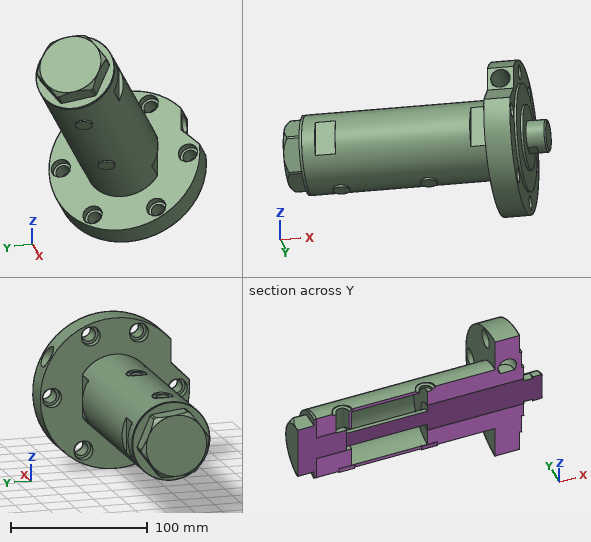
import cadquery as cq
import math


HEX_ACROSS_FLATS = 46.0
HEX_CORNER_RADIUS = 26.1
HEX_TURN = 6.6
HEX_END = 13.0
CAP_FLANGE_RADIUS = 29.4
CAP_FLANGE_END = 14.9
SPIGOT_RADIUS = 10.0
SPIGOT_END = 38.7

BARREL_DIAMETER = 59.0
BARREL_RADIUS = BARREL_DIAMETER / 2
WRENCH_FLAT_START = 24.5
WRENCH_FLAT_END = 39.7
WRENCH_FLAT_OFFSET = 26.3
BARREL_END = 139.8
NECK_FLAT_OFFSET = 25.0

FLANGE_DIAMETER = 114.0
FLANGE_RADIUS = FLANGE_DIAMETER / 2
FLANGE_START = 155.5
FLANGE_END = 174.9
NOTCH_Y = -42.7
NOTCH_CORNER_Z = 20.1
BOLT_CIRCLE_RADIUS = 48.0
BOLT_ANGLES = (0, 67.5, 112.5, 180, 240, 300)
BOLT_HOLE_RADIUS = 5.2
COUNTERBORE_RADIUS = 7.2
COUNTERBORE_DEPTH = 6.0
CROSS_HOLE_RADIUS = 7.2
CROSS_HOLE_Z = 28.8

CHAMBER_RADIUS = 26.3
CHAMBER_START = 42.5
CORE_RADIUS = 24.2
CORE_START = 102.1
PILOT_RADIUS = 39.8
PILOT_END = 176.5
CORE_END = 178.3

PORT_POSITIONS = (35.4, 101.0)
PORT_RADIUS = 4.8
SPOTFACE_RADIUS = 7.5
SPOTFACE_Z = 28.2

PLUG_POSITIONS = (38.9, 103.9)
PLUG_RADIUS = 6.2
PLUG_BOTTOM_Z = -30.5
PLUG_TOP_Z = -27.0

SHAFT_DIAMETER = 24.2
SHAFT_RADIUS = SHAFT_DIAMETER / 2
STEM_RADIUS = 6.8
SHAFT_END = 192.8
SHAFT_CHAMFER = 1.2
SHAFT_TURN = 2.5
SHAFT_FLAT_OFFSET = 10.6
SHAFT_FLAT_END = 185.1
NUB_RADIUS = 0.5
NUB_END = 193.5
NUB_Y = -7.5
NUB_Z = 6.8


def rod(radius, start, end, y=0, z=0):
    """Cylinder parallel to the X axis, from x = start to x = end."""
    return cq.Workplane("YZ", origin=(start, y, z)).circle(radius).extrude(end - start)


def upright(radius, x, bottom, top):
    """Cylinder parallel to the Z axis, centred over the main axis."""
    return cq.Workplane("XY", origin=(x, 0, bottom)).circle(radius).extrude(top - bottom)


def blocks_beyond(offset, start, end):
    """Two blocks, one above y = offset and one below y = -offset, that cut a pair of flats."""
    reach = BARREL_RADIUS
    middle = (start + end) / 2
    sides = [(middle, offset + reach / 2), (middle, -offset - reach / 2)]
    return (
        cq.Workplane("XY")
        .pushPoints(sides)
        .rect(end - start, reach)
        .extrude(reach * 2, both=True)
    )


def make_barrel():
    barrel = rod(BARREL_RADIUS, CAP_FLANGE_END, FLANGE_START)
    barrel = barrel.cut(blocks_beyond(WRENCH_FLAT_OFFSET, WRENCH_FLAT_START, WRENCH_FLAT_END))
    barrel = barrel.cut(blocks_beyond(NECK_FLAT_OFFSET, BARREL_END, FLANGE_START))
    for x in PORT_POSITIONS:
        barrel = barrel.cut(upright(SPOTFACE_RADIUS, x, SPOTFACE_Z, BARREL_RADIUS))
        barrel = barrel.cut(upright(PORT_RADIUS, x, 0, BARREL_RADIUS))
    return barrel


def make_flange():
    flange = rod(FLANGE_RADIUS, FLANGE_START, FLANGE_END)

    notch_run = NOTCH_Y + FLANGE_RADIUS
    notch = (
        cq.Workplane("YZ", origin=(FLANGE_START, 0, 0))
        .moveTo(NOTCH_Y, NOTCH_CORNER_Z)
        .lineTo(NOTCH_Y, FLANGE_RADIUS)
        .lineTo(-FLANGE_RADIUS, FLANGE_RADIUS)
        .lineTo(-FLANGE_RADIUS, NOTCH_CORNER_Z - notch_run)
        .close()
        .extrude(FLANGE_END - FLANGE_START)
    )
    flange = flange.cut(notch)

    for angle in BOLT_ANGLES:
        y = BOLT_CIRCLE_RADIUS * math.cos(math.radians(angle))
        z = BOLT_CIRCLE_RADIUS * math.sin(math.radians(angle))
        flange = flange.cut(rod(BOLT_HOLE_RADIUS, FLANGE_START, FLANGE_END, y, z))
        flange = flange.cut(rod(COUNTERBORE_RADIUS, FLANGE_START, FLANGE_START + COUNTERBORE_DEPTH, y, z))

    flange_middle = (FLANGE_START + FLANGE_END) / 2
    cross_hole = (
        cq.Workplane("XZ", origin=(flange_middle, 0, CROSS_HOLE_Z))
        .circle(CROSS_HOLE_RADIUS)
        .extrude(FLANGE_RADIUS, both=True)
    )
    return flange.cut(cross_hole)


def make_housing():
    housing = make_barrel().union(make_flange())
    housing = housing.union(rod(PILOT_RADIUS, FLANGE_END, PILOT_END))
    housing = housing.cut(rod(CHAMBER_RADIUS, CHAMBER_START, CORE_START))
    housing = housing.union(rod(CHAMBER_RADIUS, CORE_START, BARREL_END))
    housing = housing.union(rod(CORE_RADIUS, CORE_START, CORE_END))
    housing = housing.cut(rod(SPIGOT_RADIUS, CAP_FLANGE_END, CORE_START))
    housing = housing.cut(rod(SHAFT_RADIUS, CORE_START, CORE_END))
    for x in PLUG_POSITIONS:
        housing = housing.cut(upright(PLUG_RADIUS, x, PLUG_BOTTOM_Z, PLUG_TOP_Z))
    return housing


def make_cap():
    corner_diameter = HEX_ACROSS_FLATS / math.cos(math.radians(30))
    hexagon = cq.Workplane("YZ").polygon(6, corner_diameter).extrude(HEX_END)
    bevel = HEX_CORNER_RADIUS - HEX_ACROSS_FLATS / 2
    envelope = rod(HEX_CORNER_RADIUS, 0, HEX_END).faces("<X").chamfer(bevel)
    head = hexagon.intersect(envelope).rotate((0, 0, 0), (1, 0, 0), -HEX_TURN)
    return head.union(rod(CAP_FLANGE_RADIUS, HEX_END, CAP_FLANGE_END)).union(
        rod(SPIGOT_RADIUS, CAP_FLANGE_END, SPIGOT_END)
    )


def make_shaft():
    journal = rod(SHAFT_RADIUS, CORE_START, SHAFT_END).faces(">X").chamfer(SHAFT_CHAMFER)
    flats = blocks_beyond(SHAFT_FLAT_OFFSET, CORE_END, SHAFT_FLAT_END)
    journal = journal.cut(flats.rotate((0, 0, 0), (1, 0, 0), 90 + SHAFT_TURN))
    nub = rod(NUB_RADIUS, SHAFT_END - SHAFT_CHAMFER, NUB_END, NUB_Y, NUB_Z)
    return journal.union(rod(STEM_RADIUS, SPIGOT_END, CORE_START)).union(nub)


def make_plug(x):
    return upright(PLUG_RADIUS, x, PLUG_BOTTOM_Z, PLUG_TOP_Z)


housing = make_housing()
cap = make_cap()
shaft = make_shaft()
plugs = [make_plug(x).val() for x in PLUG_POSITIONS]

result = cq.Compound.makeCompound([housing.val(), cap.val(), shaft.val(), *plugs])